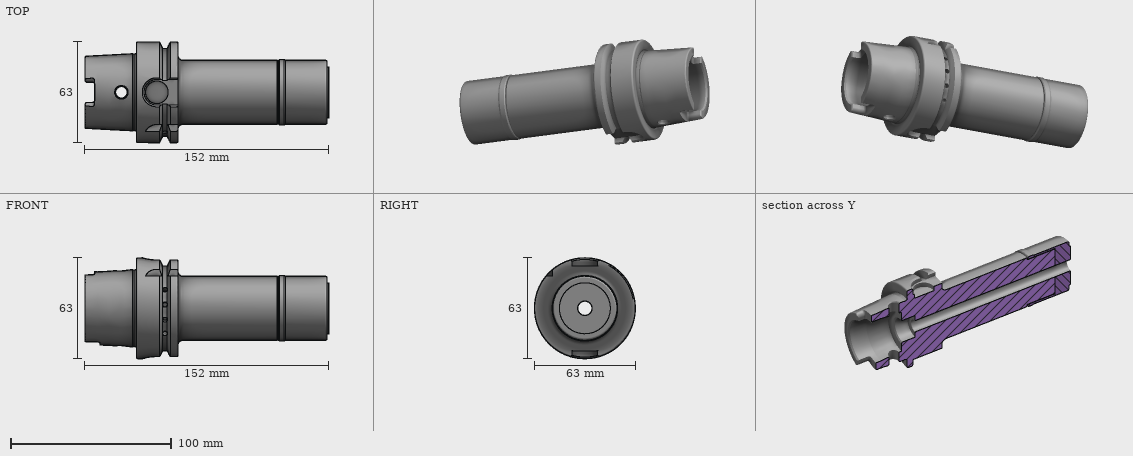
import cadquery as cq
import math


shank_length = 32.0
shank_end_radius = 22.5
shank_base_radius = 24.1
shank_corner = 0.8

relief_start = -2.3
relief_bottom_x = -1.5
relief_end = -0.6
relief_radius = 23.8
relief_depth = 0.3
relief_floor_radius = 24.5
relief_rim_radius = 25.4

flange_radius = 31.5
flange_width = 26.0
flange_front_fillet = 1.1
flange_rear_fillet = 0.9
groove_floor_radius = 27.5
groove_center = 17.85
groove_floor_width = 2.8
groove_neck_radius = 28.1
groove_neck_width = 3.3
groove_mouth_width = 6.8

body_radius = 20.0
neck_fillet = 3.0
body_end = 88.3
body_end_chamfer = 0.6

nut_start = 88.7
nut_length = 30.3
nut_radius = 20.0
nut_collar_radius = 20.45
nut_collar_width = 3.4
nut_collar_slope = 1.0
nut_collar_chamfer = 0.5
nut_edge_fillet = 1.3
nut_face_radius = 15.9
nut_end = 120.0
nose_radius = 18.5
nose_length = 20.0

mouth_radius = 17.65
mouth_chamfer_length = 1.1
clamping_bore_radius = 17.0
clamping_bore_depth = 13.0
bore_floor_radius = 15.6
bore_floor_depth = 28.0
tube_seat_radius = 8.6
tube_seat_rim_radius = 9.4
tube_seat_depth = 10.0
through_radius = 4.4

notch_half_width = 6.25
notch_wall_top = 18.1
notch_round = 2.85
notch_inner_fillet = 1.4
notch_edge_chamfer = 0.9
top_notch_depth = 6.0
bottom_notch_depth = 9.3

cross_hole_x = -9.3
cross_hole_radius = 3.6
cross_hole_chamfer = 0.6

cutter_radius = 8.0
cutter_stop_x = 12.8
key_slot_floor = 26.5
key_slot_chamfer = 1.1
chip_recess_radius = 7.05
chip_recess_depth = 3.4
orientation_notch_side = 20.05

overrun = 1.0

screw_hole_radius = 1.55
screw_hole_depth = 5.0
screw_hole_angles = [25.0, 5.0, -15.0, -35.0]


def revolve_about_x(outline):
    return outline.close().revolve(360, (0, 0, 0), (1, 0, 0))


def make_shank():
    """Taper shank, relief groove and the disc behind the relief."""
    outline = (
        cq.Workplane("XY")
        .moveTo(-shank_length, 0)
        .lineTo(-shank_length, shank_end_radius)
        .lineTo(relief_start, shank_base_radius)
        .lineTo(relief_bottom_x, relief_radius)
        .lineTo(relief_end, shank_base_radius)
        .lineTo(relief_depth, relief_floor_radius)
        .lineTo(relief_depth, 0)
    )
    shank = revolve_about_x(outline)
    return shank.faces("<X").edges().fillet(shank_corner)


def cut_cross_hole(shank):
    """Hole along Z through both walls of the shank, chamfered at both ends."""
    reach = shank_base_radius + overrun
    hole = cq.Workplane("XY", origin=(cross_hole_x, 0, -reach)).circle(cross_hole_radius).extrude(2 * reach)
    half_box = cross_hole_radius + cross_hole_chamfer
    rims = cq.selectors.BoxSelector(
        (cross_hole_x - half_box, -half_box, -reach),
        (cross_hole_x + half_box, half_box, reach),
        boundingbox=True,
    )
    return shank.cut(hole).edges(rims).edges("not |Z").chamfer(cross_hole_chamfer)


def make_flange_envelope():
    """Flange disc with rounded rims and the recessed ring in its seating face."""
    envelope = cq.Workplane("YZ").circle(flange_radius).extrude(flange_width)
    envelope = envelope.faces("<X").edges().fillet(flange_front_fillet)
    envelope = envelope.faces(">X").edges().fillet(flange_rear_fillet)
    ring = revolve_about_x(
        cq.Workplane("XY")
        .moveTo(0, 0)
        .lineTo(0, relief_rim_radius)
        .lineTo(relief_depth, relief_floor_radius)
        .lineTo(relief_depth, 0)
    )
    return envelope.cut(ring)


def make_slot_cutter(side):
    """Channel with a round end, open past the rear of the flange; side is 1 for +Z, -1 for -Z."""
    open_end = flange_width + overrun
    height = flange_radius - key_slot_floor + overrun
    channel = (
        cq.Workplane("XY")
        .moveTo(cutter_stop_x, cutter_radius)
        .threePointArc((cutter_stop_x - cutter_radius, 0), (cutter_stop_x, -cutter_radius))
        .lineTo(open_end, -cutter_radius)
        .lineTo(open_end, cutter_radius)
        .close()
        .extrude(height)
        .translate((0, 0, key_slot_floor))
    )
    if side < 0:
        channel = channel.mirror("XY")
    return channel


def make_slotted_disc():
    """Plain flange disc with a key slot at +Z and at -Z, their rims chamfered."""
    disc = cq.Workplane("YZ").circle(flange_radius).extrude(flange_width)
    reach = cutter_radius + key_slot_chamfer
    for side in (1, -1):
        disc = disc.cut(make_slot_cutter(side))
    for side in (1, -1):
        rim_height = side * flange_radius
        wall_height = side * (key_slot_floor + overrun)
        rim = cq.selectors.BoxSelector(
            (cutter_stop_x - reach, -reach, min(rim_height, wall_height)),
            (flange_width - overrun, reach, max(rim_height, wall_height)),
        )
        disc = disc.edges(rim).edges("not |Z").chamfer(key_slot_chamfer)
    return disc


def cut_chip_recess(flange):
    recess = (
        cq.Workplane("XY", origin=(cutter_stop_x, 0, key_slot_floor - chip_recess_depth))
        .circle(chip_recess_radius)
        .extrude(chip_recess_depth)
    )
    return flange.cut(recess)


def cut_orientation_notch(flange):
    """Square-cornered step milled parallel to Z at the -Y, +Z quarter of the flange."""
    path = make_slot_cutter(1).translate(
        (0, -orientation_notch_side - cutter_radius, orientation_notch_side - key_slot_floor)
    )
    return flange.cut(path)


def cut_gripper_groove(flange):
    """V-shaped groove with a narrow flat-bottomed relief."""
    half_widths = [groove_mouth_width / 2, groove_neck_width / 2, groove_floor_width / 2]
    radii = [flange_radius, groove_neck_radius, groove_floor_radius]
    left = [(groove_center - half, radius) for half, radius in zip(half_widths, radii)]
    right = [(groove_center + half, radius) for half, radius in zip(half_widths, radii)]
    outer = flange_radius + overrun
    points = [(left[0][0], outer)] + left + right[::-1] + [(right[0][0], outer)]
    return flange.cut(revolve_about_x(cq.Workplane("XY").polyline(points)))


def cut_screw_holes(flange):
    for angle in screw_hole_angles:
        hole = (
            cq.Workplane("XZ", origin=(groove_center, -groove_floor_radius - overrun, 0))
            .circle(screw_hole_radius)
            .extrude(-screw_hole_depth - overrun)
            .rotate((0, 0, 0), (1, 0, 0), -angle)
        )
        flange = flange.cut(hole)
    return flange


def make_body():
    """Cylinder in front of the flange, its filleted neck and the nose inside the nut."""
    outline = (
        cq.Workplane("XY")
        .moveTo(flange_width - overrun, 0)
        .lineTo(flange_width - overrun, body_radius + neck_fillet)
        .lineTo(flange_width, body_radius + neck_fillet)
        .radiusArc((flange_width + neck_fillet, body_radius), -neck_fillet)
        .lineTo(body_end - body_end_chamfer, body_radius)
        .lineTo(body_end, body_radius - body_end_chamfer)
        .lineTo(body_end, nose_radius)
        .lineTo(nut_start + nose_length, nose_radius)
        .lineTo(nut_start + nose_length, 0)
    )
    return revolve_about_x(outline)


def make_stepped_bore():
    """Clamping bore, conical bottom and coolant tube seat, as one tool."""
    floor_x = bore_floor_depth - shank_length
    seat_chamfer = tube_seat_rim_radius - tube_seat_radius
    outline = (
        cq.Workplane("XY")
        .moveTo(-shank_length, 0)
        .lineTo(-shank_length, mouth_radius)
        .lineTo(-shank_length + mouth_chamfer_length, clamping_bore_radius)
        .lineTo(-shank_length + clamping_bore_depth, clamping_bore_radius)
        .lineTo(floor_x, bore_floor_radius)
        .lineTo(floor_x, tube_seat_rim_radius)
        .lineTo(floor_x + seat_chamfer, tube_seat_radius)
        .lineTo(floor_x + tube_seat_depth, tube_seat_radius)
        .lineTo(floor_x + tube_seat_depth, 0)
    )
    return revolve_about_x(outline)


def make_through_hole():
    total_length = shank_length + nut_end
    return cq.Workplane("YZ", origin=(-shank_length, 0, 0)).circle(through_radius).extrude(total_length)


def make_notch(depth):
    """Notch tool: parallel walls that round outwards near the rim, rounded inner corners."""
    half = notch_half_width
    inner_z = bore_floor_radius / 2
    outer_z = shank_base_radius + overrun
    round_top = notch_wall_top + notch_round
    rim_half = half + notch_round
    arc_mid_y = rim_half - notch_round * math.sqrt(0.5)
    arc_mid_z = notch_wall_top + notch_round * math.sqrt(0.5)
    notch = (
        cq.Workplane("YZ", origin=(-shank_length, 0, 0))
        .moveTo(-half, inner_z)
        .lineTo(half, inner_z)
        .lineTo(half, notch_wall_top)
        .threePointArc((arc_mid_y, arc_mid_z), (rim_half, round_top))
        .lineTo(rim_half, outer_z)
        .lineTo(-rim_half, outer_z)
        .lineTo(-rim_half, round_top)
        .threePointArc((-arc_mid_y, arc_mid_z), (-half, notch_wall_top))
        .close()
        .extrude(depth)
    )
    notch = notch.faces(">X").edges("not(<Z or >Z)").fillet(notch_inner_fillet)
    return notch.union(make_notch_mouth(inner_z))


def make_notch_mouth(inner_z):
    """Wedge that chamfers the straight wall edges and ends where the rounds reach its width."""
    half = notch_half_width
    wide_half = half + notch_edge_chamfer
    top_z = notch_wall_top + math.sqrt(notch_round**2 - (notch_round - notch_edge_chamfer) ** 2)
    return (
        cq.Workplane("XY", origin=(-shank_length, 0, inner_z))
        .moveTo(0, -wide_half)
        .lineTo(notch_edge_chamfer, -half)
        .lineTo(notch_edge_chamfer, half)
        .lineTo(0, wide_half)
        .close()
        .extrude(top_z - inner_z)
    )


def make_holder():
    flange = make_slotted_disc().intersect(make_flange_envelope())
    flange = cut_chip_recess(flange)
    flange = cut_orientation_notch(flange)
    flange = cut_gripper_groove(flange)
    flange = cut_screw_holes(flange)
    holder = cut_cross_hole(make_shank()).union(flange).union(make_body())
    holder = holder.cut(make_stepped_bore()).cut(make_through_hole())
    holder = holder.cut(make_notch(top_notch_depth))
    holder = holder.cut(make_notch(bottom_notch_depth).mirror("XY"))
    return holder


def make_nut():
    """Nut with a collar, a socket for the nose and a raised end face."""
    barrel_end = nut_start + nut_length
    collar_end = nut_start + nut_collar_width
    outline = (
        cq.Workplane("XY")
        .moveTo(nut_start, nose_radius)
        .lineTo(nut_start, nut_collar_radius - nut_collar_chamfer)
        .lineTo(nut_start + nut_collar_chamfer, nut_collar_radius)
        .lineTo(collar_end, nut_collar_radius)
        .lineTo(collar_end + nut_collar_slope, nut_radius)
        .lineTo(barrel_end - nut_edge_fillet, nut_radius)
        .radiusArc((barrel_end, nut_radius - nut_edge_fillet), nut_edge_fillet)
        .lineTo(barrel_end, nut_face_radius)
        .lineTo(nut_end, nut_face_radius)
        .lineTo(nut_end, through_radius)
        .lineTo(nut_start + nose_length, through_radius)
        .lineTo(nut_start + nose_length, nose_radius)
    )
    return revolve_about_x(outline)


holder = make_holder()
nut = make_nut()
result = cq.Compound.makeCompound([holder.val(), nut.val()])